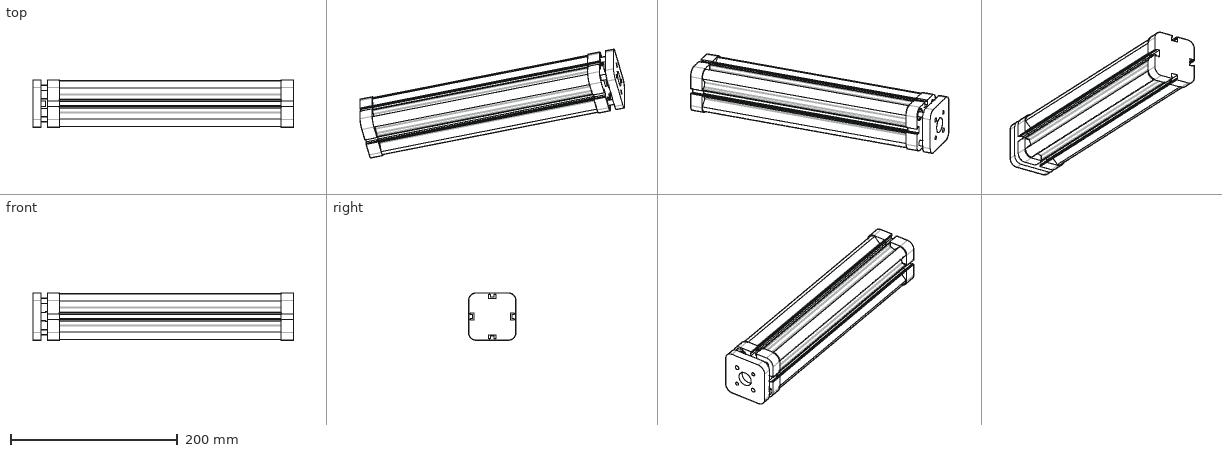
import cadquery as cq
import math


total_length = 313.0
plate_thickness = 10.0
plate_gap = 7.5
front_cap_length = 14.5
rear_cap_length = 15.0
front_cap_start = plate_thickness + plate_gap
tube_start = front_cap_start + front_cap_length
tube_end = total_length - rear_cap_length

body_side = 57.0
corner_radius = 9.5

pocket_diameter = 17.8
pocket_depth = 6.5
hole_offset = 11.75
large_hole_diameter = 5.0
small_hole_diameter = 4.0

guide_diameter = 6.5
guide_offset = 18.8
recess_diameter = 14.5
recess_depth = 1.5

rod_diameter = 12.0
rod_width_across_flats = 10.0
flats_end = 15.3

slot_width = 6.5
slot_depth = 6.5
slot_lip = 2.2
slot_undercut = 1.0

tube_side = 55.0
post_radius = 9.0
barrel_radius = 22.5
slope_fillet = 1.0
rail_width = 10.3
rail_fillet = 1.0
groove_width = 4.7
groove_step = 1.3
groove_depth = 4.0

guide_points = [(y, z) for y in (-guide_offset, guide_offset) for z in (-guide_offset, guide_offset)]


def rounded_bar(side, radius, start, end):
    """Square bar along X with rounded long edges."""
    bar = cq.Workplane("YZ", origin=(start, 0, 0)).rect(side, side).extrude(end - start)
    return bar.edges("|X").fillet(radius)


def round_bars(points, diameter, start, end):
    """Cylinders along X, one at each (Y, Z) point."""
    plane = cq.Workplane("YZ", origin=(start, 0, 0))
    return plane.pushPoints(points).circle(diameter / 2).extrude(end - start)


def flat_bar(width, bottom, top, start, end):
    """Rectangular bar along X between two heights above the axis."""
    plane = cq.Workplane("YZ", origin=(start, 0, (bottom + top) / 2))
    return plane.rect(width, top - bottom).extrude(end - start)


def cut_on_four_sides(body, cutter):
    """Cut a shape made for the +Z side out of all four long sides."""
    for side in range(4):
        body = body.cut(cutter.rotate((0, 0, 0), (1, 0, 0), 90 * side))
    return body


def make_front_plate():
    plate = rounded_bar(body_side, corner_radius, 0, plate_thickness)
    plate = plate.cut(round_bars([(0, 0)], pocket_diameter, 0, pocket_depth))
    large_points = [(hole_offset, hole_offset), (-hole_offset, -hole_offset)]
    small_points = [(hole_offset, -hole_offset), (-hole_offset, hole_offset)]
    plate = plate.cut(round_bars(large_points, large_hole_diameter, 0, plate_thickness))
    plate = plate.cut(round_bars(small_points, small_hole_diameter, 0, plate_thickness))
    return plate.union(round_bars(guide_points, guide_diameter, plate_thickness, tube_start))


def make_piston_rod():
    rod = round_bars([(0, 0)], rod_diameter, plate_thickness, tube_start)
    flat_cutter = flat_bar(rod_diameter, rod_width_across_flats / 2, rod_diameter, plate_thickness, flats_end)
    return rod.cut(flat_cutter).cut(flat_cutter.mirror("XY"))


def make_cap(start, end):
    """Solid cap with an undercut slot along each side."""
    top = body_side / 2
    opening = flat_bar(slot_width, top - slot_depth, top, start, end)
    undercut = flat_bar(slot_width + 2 * slot_undercut, top - slot_depth, top - slot_lip, start, end)
    cap = rounded_bar(body_side, corner_radius, start, end)
    return cut_on_four_sides(cap, opening.union(undercut))


def make_front_cap():
    cap = make_cap(front_cap_start, tube_start)
    cap = cap.cut(round_bars([(0, 0)], rod_diameter, front_cap_start, tube_start))
    cap = cap.cut(round_bars(guide_points, guide_diameter, front_cap_start, tube_start))
    recess_points = [(guide_offset, guide_offset), (-guide_offset, -guide_offset)]
    recess_end = front_cap_start + recess_depth
    return cap.cut(round_bars(recess_points, recess_diameter, front_cap_start, recess_end))


def make_side_recess():
    """Hollow on the +Z side of the tube, between two corner posts and around the rail."""
    top = tube_side / 2
    post_edge = top - post_radius
    foot = (math.sqrt(2 * barrel_radius**2 - post_radius**2) - post_radius) / 2
    foot_height = foot + post_radius
    recess = (
        cq.Workplane("YZ", origin=(tube_start, 0, 0))
        .moveTo(-post_edge, top)
        .lineTo(-foot, foot_height)
        .threePointArc((0, barrel_radius), (foot, foot_height))
        .lineTo(post_edge, top)
        .close()
        .extrude(tube_end - tube_start)
    )
    recess = recess.edges("|X and (not >Z)").fillet(slope_fillet)

    rail = flat_bar(rail_width, 0, top, tube_start, tube_end).edges("|X and >Z").fillet(rail_fillet)
    recess = recess.cut(rail)
    near_rail_foot = cq.selectors.BoxSelector(
        (tube_start, -rail_width, 0), (tube_end, rail_width, barrel_radius)
    )
    return recess.edges("|X").edges(near_rail_foot).fillet(rail_fillet)


def make_rail_slot():
    """Stepped slot in the rail on the +Z side of the tube."""
    top = tube_side / 2
    step = top - groove_step
    opening = flat_bar(slot_width, step, top, tube_start, tube_end)
    groove = flat_bar(groove_width, top - groove_depth, step, tube_start, tube_end)
    return opening.union(groove)


def make_tube():
    tube = rounded_bar(tube_side, post_radius, tube_start, tube_end)
    tube = cut_on_four_sides(tube, make_side_recess())
    return cut_on_four_sides(tube, make_rail_slot())


front_plate = make_front_plate()
piston_rod = make_piston_rod()
front_cap = make_front_cap()
tube = make_tube()
rear_cap = make_cap(tube_end, total_length)

result = cq.Compound.makeCompound(
    [front_plate.val(), piston_rod.val(), front_cap.val(), tube.val(), rear_cap.val()]
)